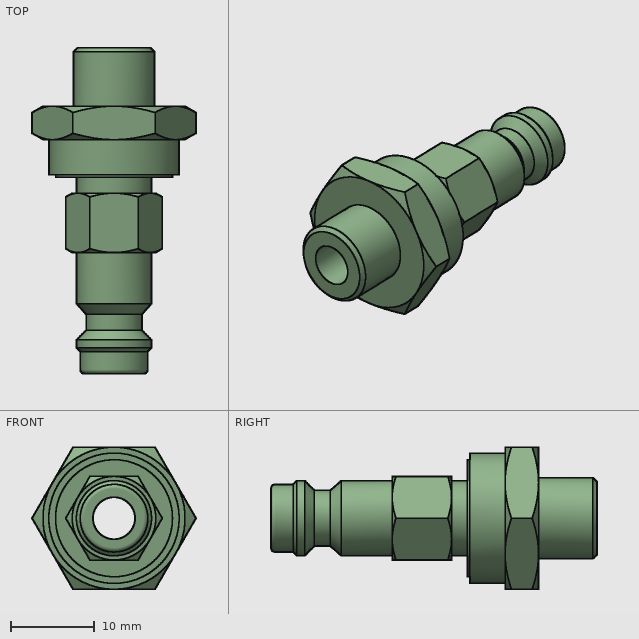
import cadquery as cq
import math


stud_diameter = 9.73
stud_length = 7.0
stud_chamfer = 0.5

large_hex_flats = 17.0
large_hex_width = 4.0
collar_diameter = 15.6
collar_length = 4.2
ring_diameter = 14.0
ring_height = 0.3

body_diameter = 9.0
neck_length = 1.9
small_hex_flats = 10.0
small_hex_width = 7.1
body_length = 6.1

groove_diameter = 6.7
groove_back_taper = 1.3
groove_floor_length = 1.9
rim_length = 0.95
nose_diameter = 8.1
nose_length = 2.65
nose_fillet = 0.5

bore_diameter = 5.0
hex_chamfer_angle = 30.0

collar_start = large_hex_width
ring_start = collar_start + collar_length
neck_start = ring_start + ring_height
small_hex_start = neck_start + neck_length
body_start = small_hex_start + small_hex_width
groove_start = body_start + body_length
groove_floor_start = groove_start + groove_back_taper
groove_floor_end = groove_floor_start + groove_floor_length
rim_start = groove_floor_end + (body_diameter - groove_diameter) / 2
rim_end = rim_start + rim_length
nose_start = rim_end + (body_diameter - nose_diameter) / 2
nose_end = nose_start + nose_length


def revolve_about_y(profile):
    return profile.close().revolve(360, (0, 0, 0), (0, 1, 0))


def make_turned_body():
    """Everything that is round, as one revolved (radius, Y) outline."""
    stud_radius = stud_diameter / 2
    collar_radius = collar_diameter / 2
    ring_radius = ring_diameter / 2
    body_radius = body_diameter / 2
    groove_radius = groove_diameter / 2
    nose_radius = nose_diameter / 2
    nose_face_radius = nose_radius - nose_fillet
    fillet_mid = nose_fillet * math.sqrt(0.5)

    profile = (
        cq.Workplane("XY")
        .moveTo(0, stud_length)
        .lineTo(stud_radius - stud_chamfer, stud_length)
        .lineTo(stud_radius, stud_length - stud_chamfer)
        .lineTo(stud_radius, -collar_start)
        .lineTo(collar_radius, -collar_start)
        .lineTo(collar_radius, -ring_start)
        .lineTo(ring_radius, -ring_start)
        .lineTo(ring_radius, -neck_start)
        .lineTo(body_radius, -neck_start)
        .lineTo(body_radius, -groove_start)
        .lineTo(groove_radius, -groove_floor_start)
        .lineTo(groove_radius, -groove_floor_end)
        .lineTo(body_radius, -rim_start)
        .lineTo(body_radius, -rim_end)
        .lineTo(nose_radius, -nose_start)
        .lineTo(nose_radius, -(nose_end - nose_fillet))
        .threePointArc(
            (nose_face_radius + fillet_mid, -(nose_end - nose_fillet + fillet_mid)),
            (nose_face_radius, -nose_end),
        )
        .lineTo(0, -nose_end)
    )
    return revolve_about_y(profile)


def make_chamfered_hex(flats, width, start):
    """Hexagon with flats facing +Z and -Z, corners bevelled at both ends."""
    flat_radius = flats / 2
    corner_radius = flat_radius / math.cos(math.radians(30))
    bevel_depth = (corner_radius - flat_radius) * math.tan(math.radians(hex_chamfer_angle))

    prism = (
        cq.Workplane("XZ", origin=(0, -start, 0))
        .polygon(6, 2 * corner_radius)
        .extrude(width)
    )
    envelope = revolve_about_y(
        cq.Workplane("XY")
        .moveTo(0, -start)
        .lineTo(flat_radius, -start)
        .lineTo(corner_radius, -(start + bevel_depth))
        .lineTo(corner_radius, -(start + width - bevel_depth))
        .lineTo(flat_radius, -(start + width))
        .lineTo(0, -(start + width))
    )
    return prism.intersect(envelope)


def make_bore():
    """Through hole along the whole axis."""
    return (
        cq.Workplane("XZ", origin=(0, stud_length, 0))
        .circle(bore_diameter / 2)
        .extrude(stud_length + nose_end)
    )


large_hex = make_chamfered_hex(large_hex_flats, large_hex_width, 0)
small_hex = make_chamfered_hex(small_hex_flats, small_hex_width, small_hex_start)

result = make_turned_body().union(large_hex).union(small_hex).cut(make_bore())